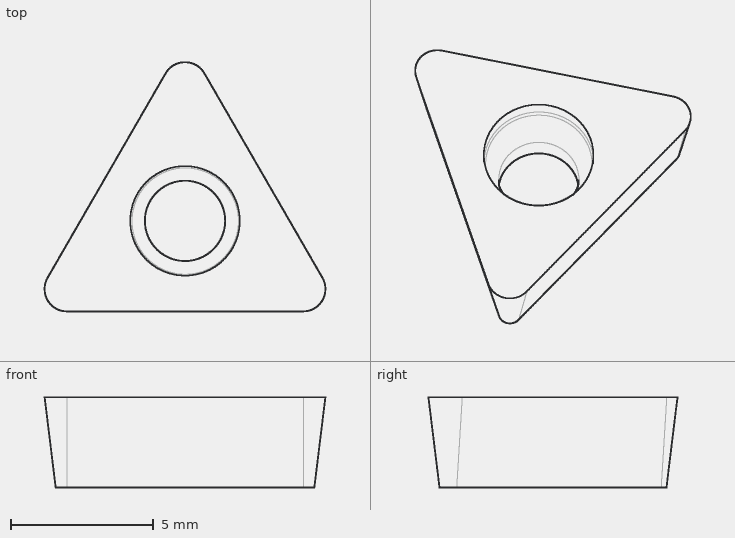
import cadquery as cq
import math

width = 9.84
thickness = 3.17
corner_radius = 0.79
clearance_angle = 7.0

mouth_diameter = 3.84
mouth_depth = 0.64
bore_diameter = 2.8
blend_radius = 0.26
seat_radius = 2.2

corner_spacing = width - 2 * corner_radius
center_to_corner = corner_spacing / math.sqrt(3)


def make_body():
    """Rounded triangle, largest at the top face, shrinking evenly towards the bottom."""
    corner_angles = [90, 210, 330]
    corner_centers = [
        (
            center_to_corner * math.cos(math.radians(angle)),
            center_to_corner * math.sin(math.radians(angle)),
        )
        for angle in corner_angles
    ]
    return (
        cq.Workplane("XY")
        .workplane(offset=thickness)
        .polyline(corner_centers)
        .close()
        .offset2D(corner_radius)
        .extrude(-thickness, taper=clearance_angle)
    )


def point_on_circle(center, radius, angle):
    """Point at the given angle in radians on a circle."""
    return (center[0] + radius * math.cos(angle), center[1] + radius * math.sin(angle))


def make_screw_hole():
    """Revolved cutter whose mouth, blend, seat and bore meet tangentially."""
    mouth_radius = mouth_diameter / 2
    bore_radius = bore_diameter / 2
    mouth_bottom_z = thickness - mouth_depth

    center_distance = blend_radius + seat_radius
    center_offset = center_distance - (mouth_radius - bore_radius)
    contact_angle = math.acos(center_offset / center_distance)
    bore_top_z = mouth_bottom_z - center_distance * math.sin(contact_angle)

    blend_center = (mouth_radius - blend_radius, mouth_bottom_z)
    seat_center = (bore_radius + seat_radius, bore_top_z)
    blend_middle = point_on_circle(blend_center, blend_radius, -contact_angle / 2)
    blend_end = point_on_circle(blend_center, blend_radius, -contact_angle)
    seat_middle = point_on_circle(seat_center, seat_radius, math.pi - contact_angle / 2)

    return (
        cq.Workplane("XZ")
        .lineTo(0, thickness)
        .lineTo(mouth_radius, thickness)
        .lineTo(mouth_radius, mouth_bottom_z)
        .threePointArc(blend_middle, blend_end)
        .threePointArc(seat_middle, (bore_radius, bore_top_z))
        .lineTo(bore_radius, 0)
        .close()
        .revolve(360, (0, 0, 0), (0, 1, 0))
    )


result = make_body().cut(make_screw_hole())